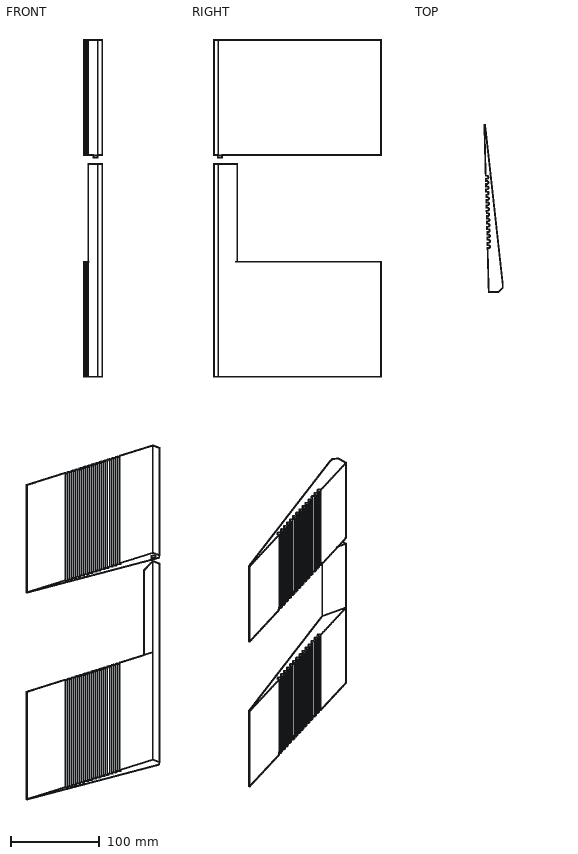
import cadquery as cq
TOTAL_DEPTH = 21.0
LEAF_LENGTH = 189.0
TOTAL_HEIGHT = 380.0
LEAF_HEIGHT = 130.0

GRIP_FACE_OFFSET = 5.0
END_CHAMFER = 5.0
SLOPE_START = 10.0
TIP_THICKNESS = 1.05

GROOVE_COUNT = 14
GROOVE_WIDTH = 3.0
GROOVE_DEPTH = 3.0
FIRST_GROOVE_Y = 51.3
GROOVE_BAND = 78.3

ARM_GAP = 10.0
ARM_LENGTH = 26.5

PIN_DIAMETER = 5.0
PIN_LENGTH = 2.5
PIN_X = 13.3
PIN_Y = 7.0

BACK_SLOPE = (TOTAL_DEPTH - TIP_THICKNESS) / (LEAF_LENGTH - SLOPE_START)
GROOVE_PITCH = GROOVE_BAND / (GROOVE_COUNT - 1)
UPPER_LEAF_Z = TOTAL_HEIGHT - LEAF_HEIGHT
ARM_TOP_Z = UPPER_LEAF_Z - ARM_GAP

HINGE_END = [
    (GRIP_FACE_OFFSET, 0),
    (TOTAL_DEPTH - END_CHAMFER, 0),
    (TOTAL_DEPTH, END_CHAMFER),
    (TOTAL_DEPTH, SLOPE_START),
]


def grip_face_x(y):
    """X of the grooved face at a given Y."""
    return GRIP_FACE_OFFSET * (1 - y / LEAF_LENGTH)


def back_face_x(y):
    """X of the sloping back face at a given Y."""
    return TIP_THICKNESS + BACK_SLOPE * (LEAF_LENGTH - y)


def prism(outline, bottom_z, height):
    """Upright prism on a closed XY outline."""
    return cq.Workplane("XY").workplane(offset=bottom_z).polyline(outline).close().extrude(height)


def groove_cutter(y, bottom_z):
    """Round-nosed bar along Z that enters the grooved face squarely at the given Y."""
    section_plane = cq.Plane(
        origin=(grip_face_x(y), y, bottom_z),
        xDir=(LEAF_LENGTH, GRIP_FACE_OFFSET, 0),
        normal=(0, 0, 1),
    )
    radius = GROOVE_WIDTH / 2
    arc_start = GROOVE_DEPTH - radius
    return (
        cq.Workplane(section_plane)
        .moveTo(-radius, -radius)
        .lineTo(arc_start, -radius)
        .threePointArc((GROOVE_DEPTH, 0), (arc_start, radius))
        .lineTo(-radius, radius)
        .close()
        .extrude(LEAF_HEIGHT)
    )


def make_leaf(bottom_z):
    """Wedge-shaped leaf with a band of grip grooves."""
    tip = [(TIP_THICKNESS, LEAF_LENGTH), (0, LEAF_LENGTH)]
    leaf = prism(HINGE_END + tip, bottom_z, LEAF_HEIGHT)
    for index in range(GROOVE_COUNT):
        leaf = leaf.cut(groove_cutter(FIRST_GROOVE_Y + index * GROOVE_PITCH, bottom_z))
    return leaf


def pin_cylinder(top_z):
    """Cylinder on the hinge axis, hanging down one pin length from top_z."""
    return (
        cq.Workplane("XY")
        .workplane(offset=top_z)
        .center(PIN_X, PIN_Y)
        .circle(PIN_DIAMETER / 2)
        .extrude(-PIN_LENGTH)
    )


def make_upper_handle():
    """Upper leaf with the hinge pin below it."""
    return make_leaf(UPPER_LEAF_Z).union(pin_cylinder(UPPER_LEAF_Z))


def make_lower_handle():
    """Lower leaf with the arm that rises from its hinge end and holds the pin hole."""
    arm_outline = HINGE_END + [(back_face_x(ARM_LENGTH), ARM_LENGTH)]
    arm = prism(arm_outline, LEAF_HEIGHT, ARM_TOP_Z - LEAF_HEIGHT)
    return make_leaf(0).union(arm).cut(pin_cylinder(ARM_TOP_Z))


upper_handle = make_upper_handle().solids()
lower_handle = make_lower_handle().solids()

result = cq.Compound.makeCompound([upper_handle.val(), lower_handle.val()])